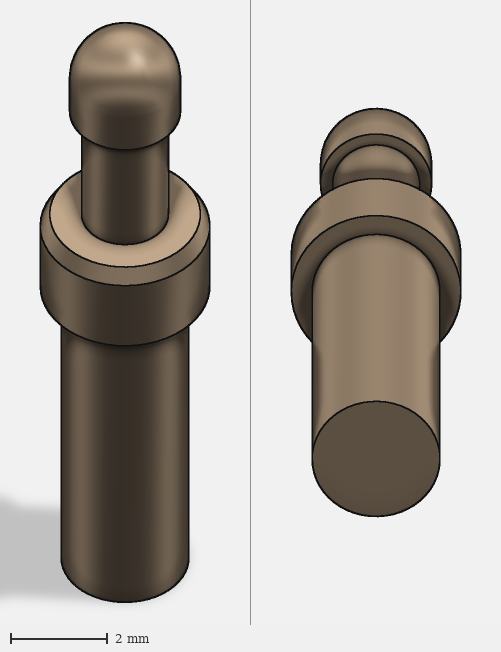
import cadquery as cq

total_height = 15.1
stem_diameter = 2.65
collar_diameter = 3.5
neck_diameter = 1.8
head_diameter = 2.3

collar_bottom = 7.9
collar_top = 10.0
head_bottom = 13.0

chamfer_width = 0.2
chamfer_height = 0.35

head_radius = head_diameter / 2
dome_base = total_height - head_radius


def cylinder(diameter, bottom, top):
    """Solid cylinder on the Z axis between two heights."""
    return cq.Workplane("XY").workplane(offset=bottom).circle(diameter / 2).extrude(top - bottom)


stem = cylinder(stem_diameter, 0, collar_bottom)

collar = (
    cylinder(collar_diameter, collar_bottom, collar_top)
    .faces(">Z")
    .edges()
    .chamfer(chamfer_height, chamfer_width)
)
neck = cylinder(neck_diameter, collar_top, head_bottom)

dome_profile = (
    cq.Workplane("XZ")
    .moveTo(0, head_bottom)
    .lineTo(head_radius, head_bottom)
    .lineTo(head_radius, dome_base)
    .radiusArc((0, total_height), -head_radius)
    .close()
)
head = dome_profile.revolve(360, (0, 0, 0), (0, 1, 0))

result = stem.union(collar).union(neck).union(head)